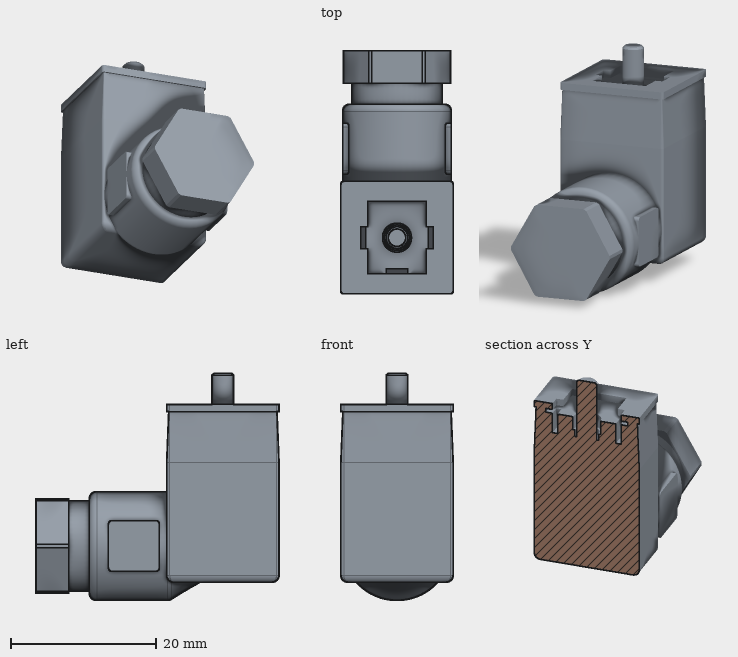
import cadquery as cq
import math

HOUSING_SIDE = 15.5
HOUSING_HEIGHT = 24.5
HOUSING_EDGE_RADIUS = 0.4
HOUSING_BOTTOM_RADIUS = 1.0
COVER_THICKNESS = 1.0
DRAFT_START_DEPTH = 8.0
DRAFT_INSET = 0.28

OPENING_WIDTH = 8.0
OPENING_LENGTH = 10.0
NOTCH_SPAN = 10.0
NOTCH_WIDTH = 3.0
RECESS_SIDE = 12.0
RECESS_FLOOR_DEPTH = 1.5

SLOT_REACH = 5.0
SLOT_THICKNESS = 0.72
SLOT_DEPTH = 3.0

PIN_DIAMETER = 3.0
PIN_PROTRUSION = 4.3
PIN_CHAMFER = 0.3
PIN_HOLE_DIAMETER = 4.0
PIN_HOLE_DEPTH = 2.0
PIN_BORE_DIAMETER = 3.5
PIN_BORE_DEPTH = 1.0

OUTLET_AXIS_Z = -19.5
BARREL_DIAMETER = 15.0
BARREL_LENGTH = 10.65
BARREL_EDGE_RADIUS = 1.0
NECK_DIAMETER = 12.5
NECK_LENGTH = 2.85
NUT_SIDES = 6
NUT_ACROSS_FLATS = 13.0
NUT_CORNER_DIAMETER = 14.74
NUT_LENGTH = 4.5

CONE_START_INSET = 0.38
CONE_LENGTH = 4.2
CONE_BLEND_RADIUS = 1.0

PAD_SIDE = 7.0
PAD_CORNER_RADIUS = 0.5
PAD_END_GAP = 1.0

housing_face_y = HOUSING_SIDE / 2
barrel_end_y = housing_face_y + BARREL_LENGTH
neck_end_y = barrel_end_y + NECK_LENGTH
barrel_radius = BARREL_DIAMETER / 2


def block(x_size, y_size, height, bottom_z):
    """Box centred on the Z axis and standing on bottom_z."""
    return (
        cq.Workplane("XY")
        .workplane(offset=bottom_z)
        .rect(x_size, y_size)
        .extrude(height)
    )


def rod(diameter, height, bottom_z):
    """Vertical cylinder on the Z axis standing on bottom_z."""
    return (
        cq.Workplane("XY")
        .workplane(offset=bottom_z)
        .circle(diameter / 2)
        .extrude(height)
    )


def outlet_plane(start_y):
    """Workplane on the outlet axis at start_y, extruding toward +Y."""
    return cq.Workplane(
        cq.Plane(origin=(0, start_y, OUTLET_AXIS_Z), xDir=(1, 0, 0), normal=(0, 1, 0))
    )


def make_housing():
    lower_height = HOUSING_HEIGHT - DRAFT_START_DEPTH
    lower = (
        block(HOUSING_SIDE, HOUSING_SIDE, lower_height, -HOUSING_HEIGHT)
        .faces("<Z")
        .edges()
        .fillet(HOUSING_BOTTOM_RADIUS)
        .edges("|Z")
        .fillet(HOUSING_EDGE_RADIUS)
    )
    draft_height = DRAFT_START_DEPTH - COVER_THICKNESS
    draft_angle = math.degrees(math.atan2(DRAFT_INSET, draft_height))
    drafted = (
        lower.faces(">Z")
        .wires()
        .toPending()
        .workplane()
        .extrude(draft_height, combine=False, taper=draft_angle)
    )
    cover = (
        block(HOUSING_SIDE, HOUSING_SIDE, COVER_THICKNESS, -COVER_THICKNESS)
        .edges("|Z")
        .fillet(HOUSING_EDGE_RADIUS)
    )
    return lower.union(drafted).union(cover)


def make_socket_cavity():
    opening = block(OPENING_WIDTH, OPENING_LENGTH, COVER_THICKNESS, -COVER_THICKNESS)
    notches = block(NOTCH_SPAN, NOTCH_WIDTH, COVER_THICKNESS, -COVER_THICKNESS)
    recess_height = RECESS_FLOOR_DEPTH - COVER_THICKNESS
    recess = block(RECESS_SIDE, RECESS_SIDE, recess_height, -RECESS_FLOOR_DEPTH)
    cavity = opening.union(notches).union(recess)

    slot = block(SLOT_THICKNESS, NOTCH_WIDTH, SLOT_DEPTH, -RECESS_FLOOR_DEPTH - SLOT_DEPTH)
    slot = slot.translate((SLOT_REACH - SLOT_THICKNESS / 2, 0, 0))
    for angle in (0, 180, 270):
        cavity = cavity.union(slot.rotate((0, 0, 0), (0, 0, 1), angle))

    hole_bottom_z = -RECESS_FLOOR_DEPTH - PIN_HOLE_DEPTH
    hole = rod(PIN_HOLE_DIAMETER, PIN_HOLE_DEPTH, hole_bottom_z)
    bore = rod(PIN_BORE_DIAMETER, PIN_BORE_DEPTH, hole_bottom_z - PIN_BORE_DEPTH)
    return cavity.union(hole).union(bore)


def make_pin():
    foot_depth = RECESS_FLOOR_DEPTH + PIN_HOLE_DEPTH + PIN_BORE_DEPTH
    pin = rod(PIN_DIAMETER, foot_depth + PIN_PROTRUSION, -foot_depth)
    return pin.faces(">Z").chamfer(PIN_CHAMFER)


def make_barrel():
    cone_start_y = housing_face_y - CONE_START_INSET
    barrel = (
        outlet_plane(cone_start_y)
        .circle(barrel_radius)
        .extrude(barrel_end_y - cone_start_y)
    )
    cone_end_radius = OUTLET_AXIS_Z + HOUSING_HEIGHT
    cone = cq.Workplane(
        cq.Solid.makeCone(
            barrel_radius,
            cone_end_radius,
            CONE_LENGTH,
            pnt=cq.Vector(0, cone_start_y, OUTLET_AXIS_Z),
            dir=cq.Vector(0, -1, 0),
        )
    )
    return (
        barrel.union(cone)
        .faces(">Y")
        .edges()
        .fillet(BARREL_EDGE_RADIUS)
        .edges(cq.selectors.NearestToPointSelector((0, cone_start_y, OUTLET_AXIS_Z)))
        .fillet(CONE_BLEND_RADIUS)
    )


def make_pads():
    """Square bar through the barrel whose ends form both grip pads."""
    pad_center_y = housing_face_y + PAD_END_GAP + PAD_SIDE / 2
    return (
        cq.Workplane("XY")
        .box(BARREL_DIAMETER, PAD_SIDE, PAD_SIDE)
        .edges("|X")
        .fillet(PAD_CORNER_RADIUS)
        .translate((0, pad_center_y, OUTLET_AXIS_Z))
    )


def make_neck():
    return outlet_plane(barrel_end_y).circle(NECK_DIAMETER / 2).extrude(NECK_LENGTH)


def make_nut():
    """Hexagon with flats at top and bottom and its corners turned down."""
    across_corners = NUT_ACROSS_FLATS / math.cos(math.pi / NUT_SIDES)
    hexagon = outlet_plane(neck_end_y).polygon(NUT_SIDES, across_corners).extrude(NUT_LENGTH)
    turned = outlet_plane(neck_end_y).circle(NUT_CORNER_DIAMETER / 2).extrude(NUT_LENGTH)
    return hexagon.intersect(turned)


outlet = make_barrel().union(make_pads()).union(make_neck()).union(make_nut())
result = make_housing().union(outlet).cut(make_socket_cavity()).union(make_pin())